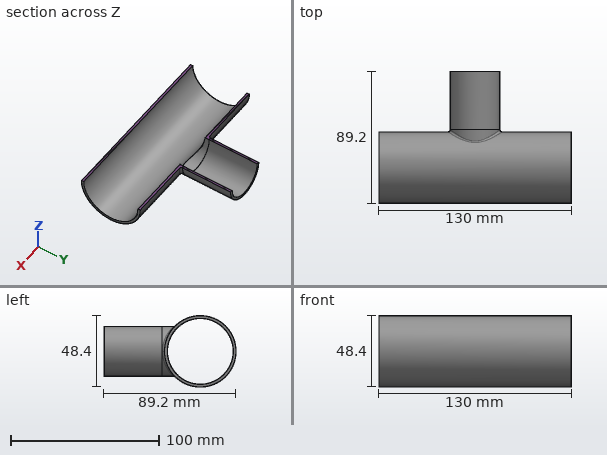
import cadquery as cq

run_length = 130.0
run_outer_diameter = 48.4
run_bore_diameter = 44.3

branch_outer_diameter = 33.7
branch_bore_diameter = 29.6
branch_end = 65.0
collar_height = 1.5
weld_fillet = 1.4

run_radius = run_outer_diameter / 2
branch_start = run_radius + collar_height


def cylinder_along_x(diameter, length):
    """Cylinder on the X axis, centred on the origin."""
    return cq.Workplane("YZ").circle(diameter / 2).extrude(length / 2, both=True)


def cylinder_along_y(diameter, start, end):
    """Cylinder on the Y axis between two Y positions."""
    base = cq.Workplane(cq.Plane(origin=(0, start, 0), xDir=(1, 0, 0), normal=(0, 1, 0)))
    return base.circle(diameter / 2).extrude(end - start)


def is_saddle_edge(edge):
    """True for the seam between the collar and the run's outer surface."""
    box = edge.BoundingBox()
    spans_collar = box.zlen > branch_outer_diameter / 4
    return edge.geomType() not in ("LINE", "CIRCLE") and spans_collar


def make_run_tube():
    """Run tube with a short filleted collar, bored through for the branch."""
    collar = cylinder_along_y(branch_outer_diameter, 0, branch_start)
    body = cylinder_along_x(run_outer_diameter, run_length).union(collar)
    saddle_edges = [edge for edge in body.edges().vals() if is_saddle_edge(edge)]
    body = body.newObject(saddle_edges).fillet(weld_fillet)
    body = body.cut(cylinder_along_x(run_bore_diameter, run_length))
    return body.cut(cylinder_along_y(branch_bore_diameter, 0, branch_start))


def make_branch_tube():
    """Plain tube butted against the end of the collar."""
    outside = cylinder_along_y(branch_outer_diameter, branch_start, branch_end)
    return outside.cut(cylinder_along_y(branch_bore_diameter, branch_start, branch_end))


run_tube = make_run_tube()
branch_tube = make_branch_tube()

result = cq.Compound.makeCompound([run_tube.val(), branch_tube.val()])